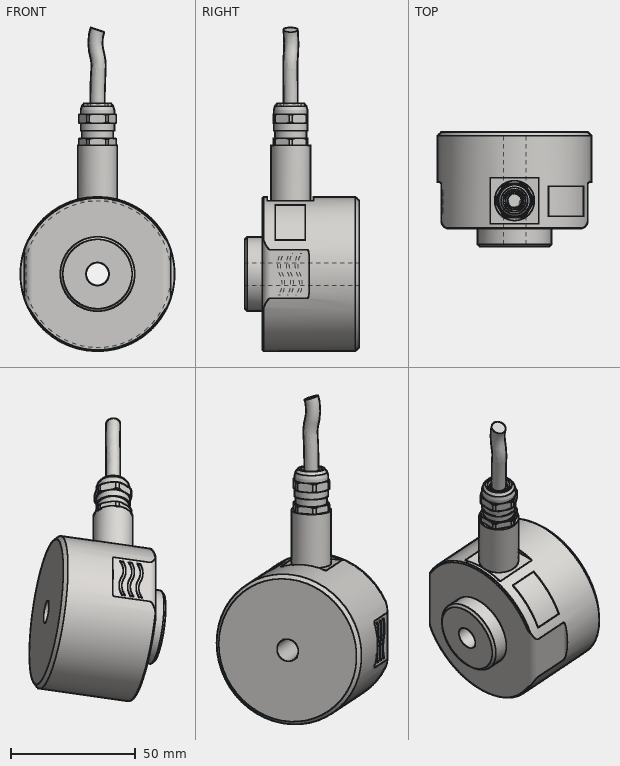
import cadquery as cq
import math


total_height = 130
body_diameter = 62.0
body_radius = body_diameter / 2
body_depth = 38.9
back_chamfer = 1.5
front_chamfer = 0.5
boss_radius = 15.0
boss_chamfer = 1.0
total_depth = 46.0
bore_radius = 4.5

across_flats = 58.9
flat_distance = across_flats / 2
side_flat_start = 20.1
side_flat_corner = 0.8
side_flat_rounding = 3.4
gland_flat_start = 18.5
gland_flat_end = 36.9
gland_depth = 27.5

plate_start = 21.7
plate_end = 33.8
plate_angle_start = 26.3
plate_angle_end = 63.7
plate_recess = 0.3

groove_count = 3
groove_spacing = 3.5
groove_centre_depth = 28.0
groove_radius = 0.6
wave_half_length = 8.3
wave_bulge = 0.85
wave_end_offset = 0.4

post_diameter = 16.0
post_top = 51.6
hex_sides = 6
hex_across_flats = 13.8
hex_corner_diameter = 15.2
hex_chamfer = 0.4
lower_hex_top = 54.5
neck_diameter = 12.7
neck_top = 57.5
collar_diameter = 13.6
collar_top = 60.5
upper_hex_top = 64.2
dome_base = 65.8
dome_shoulder = 67.3
dome_shoulder_diameter = 12.7
gland_top = 68.6
dome_top_diameter = 10.7
mouth_diameter = 7.4
mouth_chamfer = 0.8
mouth_depth = 1.0

cable_diameter = 5.8
cable_bend_start = 70.5
cable_kink_height = 82.5
cable_kink_x = 0.4
cable_kink_y = -0.1
cable_kink_tilt = 4
cable_sway_height = 92.5
cable_sway_x = -0.85
cable_sway_y = 0.3
cable_end_tilt = 19

overshoot = 2.6


def make_body():
    """Disc and front boss, revolved about the Y axis."""
    outline = [
        (0, 0),
        (body_radius - back_chamfer, 0),
        (body_radius, -back_chamfer),
        (body_radius, -body_depth + front_chamfer),
        (body_radius - front_chamfer, -body_depth),
        (boss_radius, -body_depth),
        (boss_radius, -total_depth + boss_chamfer),
        (boss_radius - boss_chamfer, -total_depth),
        (0, -total_depth),
    ]
    return cq.Workplane("XY").polyline(outline).close().revolve(360, (0, 0), (0, 1))


def side_flat_cutter():
    """Material removed at +X: a flat with a filleted back corner and a rounded front edge."""
    outer = body_radius + overshoot
    corner_depth = side_flat_start + side_flat_corner
    rounding_start = body_depth - side_flat_rounding
    return (
        cq.Workplane("XY", origin=(0, 0, -body_radius))
        .moveTo(outer, -side_flat_start)
        .lineTo(flat_distance + side_flat_corner, -side_flat_start)
        .radiusArc((flat_distance, -corner_depth), -side_flat_corner)
        .lineTo(flat_distance, -rounding_start)
        .radiusArc((flat_distance - side_flat_rounding, -body_depth), side_flat_rounding)
        .lineTo(outer, -body_depth)
        .close()
        .extrude(body_diameter)
    )


def gland_flat_cutter():
    """Square seat for the cable gland on top of the rim."""
    middle = (gland_flat_start + gland_flat_end) / 2
    return (
        cq.Workplane("XY", origin=(0, -middle, flat_distance))
        .rect(body_diameter, gland_flat_end - gland_flat_start)
        .extrude(body_radius - flat_distance + overshoot)
    )


def plate_cutter():
    """Shallow curved recess for the name plate."""
    def rim_point(radius, angle):
        return radius * math.cos(math.radians(angle)), radius * math.sin(math.radians(angle))

    floor = body_radius - plate_recess
    outer = body_radius + overshoot
    middle = (plate_angle_start + plate_angle_end) / 2
    return (
        cq.Workplane("XZ", origin=(0, -plate_start, 0))
        .moveTo(*rim_point(floor, plate_angle_start))
        .threePointArc(rim_point(floor, middle), rim_point(floor, plate_angle_end))
        .lineTo(*rim_point(outer, plate_angle_end))
        .threePointArc(rim_point(outer, middle), rim_point(outer, plate_angle_start))
        .close()
        .extrude(plate_end - plate_start)
    )


def wave_groove_cutter(depth):
    """Round-bottomed S of two mirrored arcs, centred on the -X flat at the given depth."""
    half = wave_half_length
    path = (
        cq.Workplane("YZ", origin=(-flat_distance, -depth, 0))
        .moveTo(wave_end_offset, half)
        .threePointArc((-wave_bulge, half / 2), (0, 0))
        .threePointArc((wave_bulge, -half / 2), (-wave_end_offset, -half))
    )
    return (
        cq.Workplane("XY", origin=(-flat_distance, wave_end_offset - depth, half))
        .circle(groove_radius)
        .sweep(path)
    )


def disc(diameter, bottom, top):
    """Upright cylinder on the gland axis."""
    return cq.Workplane("XY", origin=(0, -gland_depth, bottom)).circle(diameter / 2).extrude(top - bottom)


def hex_nut(bottom, top, chamfered_edges):
    """Hexagon with flats toward +Y and -Y and turned corners."""
    hexagon = (
        cq.Workplane("XY", origin=(0, -gland_depth, bottom))
        .polygon(hex_sides, hex_across_flats, circumscribed=True)
        .extrude(top - bottom)
        .rotate((0, -gland_depth, 0), (0, -gland_depth, 1), 180 / hex_sides)
    )
    turned = disc(hex_corner_diameter, bottom, top).edges(chamfered_edges).chamfer(hex_chamfer)
    return hexagon.intersect(turned)


def make_gland():
    """Post, two hexagons and the domed cap with the cable mouth."""
    dome = (
        cq.Workplane("XZ", origin=(0, -gland_depth, 0))
        .moveTo(0, upper_hex_top)
        .lineTo(collar_diameter / 2, upper_hex_top)
        .lineTo(collar_diameter / 2, dome_base)
        .lineTo(dome_shoulder_diameter / 2, dome_shoulder)
        .lineTo(dome_top_diameter / 2, gland_top)
        .lineTo(0, gland_top)
        .close()
        .revolve(360, (0, 0), (0, 1))
    )
    mouth = disc(mouth_diameter + 2 * mouth_chamfer, gland_top - mouth_depth, gland_top)
    mouth = mouth.faces("<Z").chamfer(mouth_chamfer)
    return (
        disc(post_diameter, flat_distance, post_top)
        .union(hex_nut(post_top, lower_hex_top, ">Z"))
        .union(disc(neck_diameter, lower_hex_top, neck_top))
        .union(disc(collar_diameter, neck_top, collar_top))
        .union(hex_nut(collar_top, upper_hex_top, "%CIRCLE"))
        .union(dome)
        .cut(mouth)
    )


def make_cable():
    """Round cable that rises straight from the gland and then sways gently."""
    def tilted(angle):
        return cq.Vector(math.sin(math.radians(angle)), 0, math.cos(math.radians(angle)))

    end_edge_rise = cable_diameter / 2 * math.sin(math.radians(cable_end_tilt))
    cable_end_height = total_height - body_radius - end_edge_rise
    bend = cq.Vector(0, -gland_depth, cable_bend_start)
    kink = cq.Vector(cable_kink_x, cable_kink_y - gland_depth, cable_kink_height)
    sway = cq.Vector(cable_sway_x, cable_sway_y - gland_depth, cable_sway_height)
    end = cq.Vector(0, -gland_depth, cable_end_height)
    rise = cq.Edge.makeSpline([bend, kink], [tilted(0), tilted(cable_kink_tilt)])
    swayed = cq.Edge.makeSpline(
        [kink, sway, end],
        [tilted(cable_kink_tilt), tilted(0), tilted(cable_end_tilt)],
    )
    path = cq.Wire.assembleEdges([rise, swayed])
    bent_part = (
        cq.Workplane("XY", origin=bend.toTuple())
        .circle(cable_diameter / 2)
        .sweep(cq.Workplane(path))
    )
    return disc(cable_diameter, gland_top - mouth_depth, cable_bend_start).union(bent_part)


side_flat = side_flat_cutter()
body = make_body().cut(side_flat).cut(side_flat.mirror("YZ"))
body = body.cut(gland_flat_cutter()).cut(plate_cutter())
for index in range(groove_count):
    offset = (index - (groove_count - 1) / 2) * groove_spacing
    body = body.cut(wave_groove_cutter(groove_centre_depth + offset))
body = body.cut(cq.Workplane("XZ").circle(bore_radius).extrude(total_depth))

result = body.union(make_gland()).union(make_cable())